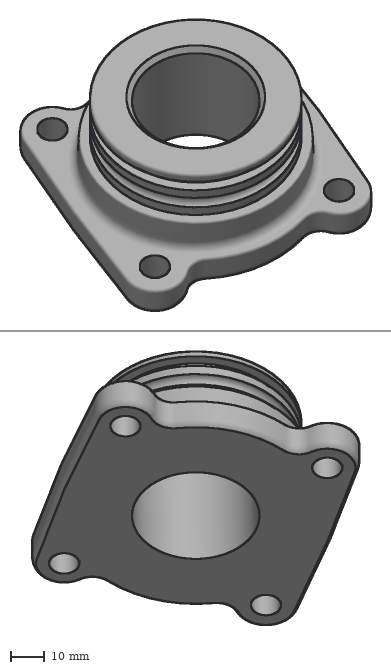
import cadquery as cq
import math

plate_height = 10.0
apex_y = 42.1
waist_radius = 40.0
neck_radius = 6.0
bolt_offset = 31.5
bolt_diameter = 9.0
lobe_radius = 9.6
large_lobe_radius = 10.0
bottom_rounding_radius = 4.0
bottom_rounding_height = 2.9
plate_top_fillet = 1.0

total_height = 38.1
spigot_radius = 31.6
spigot_top_fillet = 1.0
shoulder_height = 20.6
shoulder_top_radius = 34.9
shoulder_base_radius = 35.2
shoulder_fillet = 0.75
cove_radius = 2.95

ring_groove_floor_radius = 28.5
ring_groove_bottom = 31.6
ring_groove_top = 35.5
round_groove_height = 26.2
round_groove_half_width = 2.1
round_groove_depth = 1.85

bore_radius = 19.0
bore_chamfer = 1.7


def quadrant_points(corner_radius):
    """Points of the +X +Y quarter of the outline, found from tangency, apex side first."""
    rise = apex_y - bolt_offset
    apex_distance = math.hypot(bolt_offset, rise)
    edge_angle = math.atan2(rise, -bolt_offset) - math.acos(corner_radius / apex_distance)

    corner_distance = bolt_offset * math.sqrt(2)
    waist_reach = waist_radius + neck_radius
    lobe_reach = corner_radius + neck_radius
    cos_swing = (waist_reach**2 + corner_distance**2 - lobe_reach**2) / (2 * waist_reach * corner_distance)
    waist_angle = math.pi / 4 - math.acos(cos_swing)
    neck_x = waist_reach * math.cos(waist_angle)
    neck_y = waist_reach * math.sin(waist_angle)
    lobe_angle = math.atan2(neck_y - bolt_offset, neck_x - bolt_offset)

    def on_lobe(angle):
        return (
            bolt_offset + corner_radius * math.cos(angle),
            bolt_offset + corner_radius * math.sin(angle),
        )

    edge_end = on_lobe(edge_angle)
    lobe_middle = on_lobe((edge_angle + lobe_angle) / 2)
    lobe_end = on_lobe(lobe_angle)
    neck_middle_angle = (lobe_angle + waist_angle) / 2 + math.pi
    neck_middle = (
        neck_x + neck_radius * math.cos(neck_middle_angle),
        neck_y + neck_radius * math.sin(neck_middle_angle),
    )
    waist_end = (waist_radius * math.cos(waist_angle), waist_radius * math.sin(waist_angle))
    return edge_end, lobe_middle, lobe_end, neck_middle, waist_end


def plate_outline():
    """Closed outline, running clockwise from the +Y apex."""
    def quarter(x_sign, y_sign, corner_radius):
        return [(x_sign * x, y_sign * y) for x, y in quadrant_points(corner_radius)]

    sides = (
        (1, quarter(1, 1, lobe_radius), quarter(1, -1, large_lobe_radius)),
        (-1, quarter(-1, -1, lobe_radius), quarter(-1, 1, lobe_radius)),
    )
    outline = cq.Workplane("XY").moveTo(0, apex_y)
    for side, first, second in sides:
        edge_end, lobe_middle, lobe_end, neck_middle, waist_end = first
        next_edge_end, next_lobe_middle, next_lobe_end, next_neck_middle, next_waist_end = second
        outline = (
            outline.lineTo(*edge_end)
            .threePointArc(lobe_middle, lobe_end)
            .threePointArc(neck_middle, waist_end)
            .threePointArc((side * waist_radius, 0), next_waist_end)
            .threePointArc(next_neck_middle, next_lobe_end)
            .threePointArc(next_lobe_middle, next_edge_end)
        )
        if side > 0:
            outline = outline.lineTo(0, -apex_y)
    return outline.close()


def flange_plate():
    """Plate with a full rounding below, trimmed flat at Z = 0."""
    trim = bottom_rounding_radius - bottom_rounding_height
    plate = plate_outline().extrude(plate_height + trim).translate((0, 0, -trim))
    plate = plate.faces("<Z").edges().fillet(bottom_rounding_radius)
    plate = plate.faces(">Z").edges().fillet(plate_top_fillet)
    trim_block = cq.Workplane("XY").circle(2 * apex_y).extrude(-trim)
    return plate.cut(trim_block)


def revolve_profile(profile):
    return profile.close().revolve(360, (0, 0, 0), (0, 1, 0))


def spigot():
    """Shoulder with a concave foot, and the grooved cylinder above it."""
    cove_outer = shoulder_base_radius + cove_radius
    cove_top = plate_height + cove_radius
    cove_middle = (
        cove_outer - cove_radius * math.sqrt(0.5),
        cove_top - cove_radius * math.sqrt(0.5),
    )
    rounding = shoulder_fillet * (1 - math.sqrt(0.5))
    top_rounding = spigot_top_fillet * (1 - math.sqrt(0.5))
    return revolve_profile(
        cq.Workplane("YZ")
        .lineTo(cove_outer, 0)
        .lineTo(cove_outer, plate_height)
        .threePointArc(cove_middle, (shoulder_base_radius, cove_top))
        .lineTo(shoulder_top_radius, shoulder_height - shoulder_fillet)
        .threePointArc(
            (shoulder_top_radius - rounding, shoulder_height - rounding),
            (shoulder_top_radius - shoulder_fillet, shoulder_height),
        )
        .lineTo(spigot_radius, shoulder_height)
        .lineTo(spigot_radius, round_groove_height - round_groove_half_width)
        .threePointArc(
            (spigot_radius - round_groove_depth, round_groove_height),
            (spigot_radius, round_groove_height + round_groove_half_width),
        )
        .lineTo(spigot_radius, ring_groove_bottom)
        .lineTo(ring_groove_floor_radius, ring_groove_bottom)
        .lineTo(ring_groove_floor_radius, ring_groove_top)
        .lineTo(spigot_radius, ring_groove_top)
        .lineTo(spigot_radius, total_height - spigot_top_fillet)
        .threePointArc(
            (spigot_radius - top_rounding, total_height - top_rounding),
            (spigot_radius - spigot_top_fillet, total_height),
        )
        .lineTo(0, total_height)
    )


def bore():
    """Through bore with a chamfered mouth at the top."""
    return revolve_profile(
        cq.Workplane("YZ")
        .lineTo(bore_radius, 0)
        .lineTo(bore_radius, total_height - bore_chamfer)
        .lineTo(bore_radius + bore_chamfer, total_height)
        .lineTo(0, total_height)
    )


def bolt_holes():
    return (
        cq.Workplane("XY")
        .rect(2 * bolt_offset, 2 * bolt_offset, forConstruction=True)
        .vertices()
        .circle(bolt_diameter / 2)
        .extrude(plate_height)
    )


result = flange_plate().union(spigot()).cut(bore()).cut(bolt_holes())